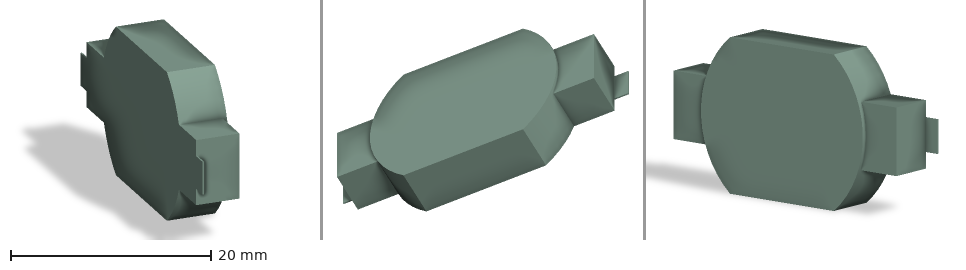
import cadquery as cq

overall_length = 31.85
depth = 5.2
body_height = 16.0

body_radius = 10.42

block_span = 28.67
block_height = 7.0
block_depth = 4.68

terminal_height = 3.55
terminal_thickness = 0.15

front_y = -depth / 2


def front_bar(length, thickness, height):
    """Bar centred in X and Z, reaching back from the front face."""
    bar = cq.Workplane("XY").box(length, thickness, height)
    return bar.translate((0, front_y + thickness / 2, 0))


disc = cq.Workplane("XZ").circle(body_radius).extrude(depth / 2, both=True)
body = disc.intersect(front_bar(2 * body_radius, depth, body_height))

end_blocks = front_bar(block_span, block_depth, block_height)
terminals = front_bar(overall_length, terminal_thickness, terminal_height)

result = body.union(end_blocks).union(terminals)